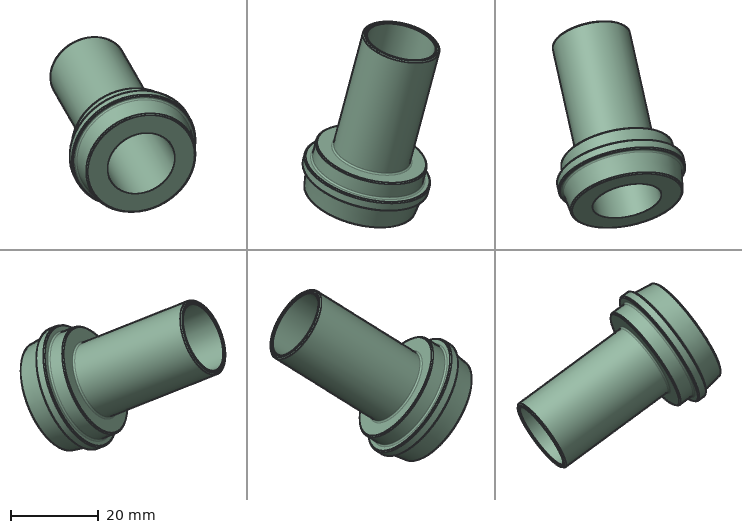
import cadquery as cq

total_length = 42.0
collar_start = 30.0
flange_start = 34.0
flange_end = 36.45

bore_diameter = 16.0
tube_diameter = 18.0
collar_diameter = 26.0
flange_diameter = 29.5
cone_base_diameter = 27.65
cone_end_diameter = collar_diameter

edge_chamfer = 0.3
tube_rim_chamfer = 0.35
corner_fillet = 0.38
bore_chamfer = 0.25


def ring_body(start, end, diameter):
    """Solid cylinder about the X axis between two axial positions."""
    return cq.Workplane("YZ", origin=(start, 0, 0)).circle(diameter / 2).extrude(end - start)


def cone_body():
    """Sealing head that tapers from the flange to the far end."""
    return (
        cq.Workplane("YZ", origin=(flange_end, 0, 0))
        .circle(cone_base_diameter / 2)
        .workplane(offset=total_length - flange_end)
        .circle(cone_end_diameter / 2)
        .loft(ruled=True)
    )


def slab(x, half_width):
    """Selector for edges within a thin square slab across the X axis."""
    margin = 0.005
    return cq.selectors.BoxSelector(
        (x - margin, -half_width, -half_width),
        (x + margin, half_width, half_width),
        boundingbox=True,
    )


def circle_at(x, diameter):
    """Selector for the circular edge of one diameter at one axial position."""
    tolerance = 0.005
    return slab(x, diameter / 2 + tolerance) - slab(x, diameter / 2 - tolerance)


body = (
    ring_body(0, collar_start, tube_diameter)
    .union(ring_body(collar_start, flange_start, collar_diameter))
    .union(ring_body(flange_start, flange_end, flange_diameter))
    .union(cone_body())
)
body = body.cut(ring_body(0, total_length, bore_diameter))

outer_rims = [
    (0, tube_diameter, tube_rim_chamfer),
    (collar_start, collar_diameter, edge_chamfer),
    (flange_start, flange_diameter, edge_chamfer),
    (flange_end, flange_diameter, edge_chamfer),
    (total_length, cone_end_diameter, edge_chamfer),
]
for position, diameter, size in outer_rims:
    body = body.edges(circle_at(position, diameter)).chamfer(size)

inside_corners = [
    (collar_start, tube_diameter),
    (flange_start, collar_diameter),
    (flange_end, cone_base_diameter),
]
for position, diameter in inside_corners:
    body = body.edges(circle_at(position, diameter)).fillet(corner_fillet)

body = body.edges(circle_at(0, bore_diameter)).chamfer(bore_chamfer)

result = body